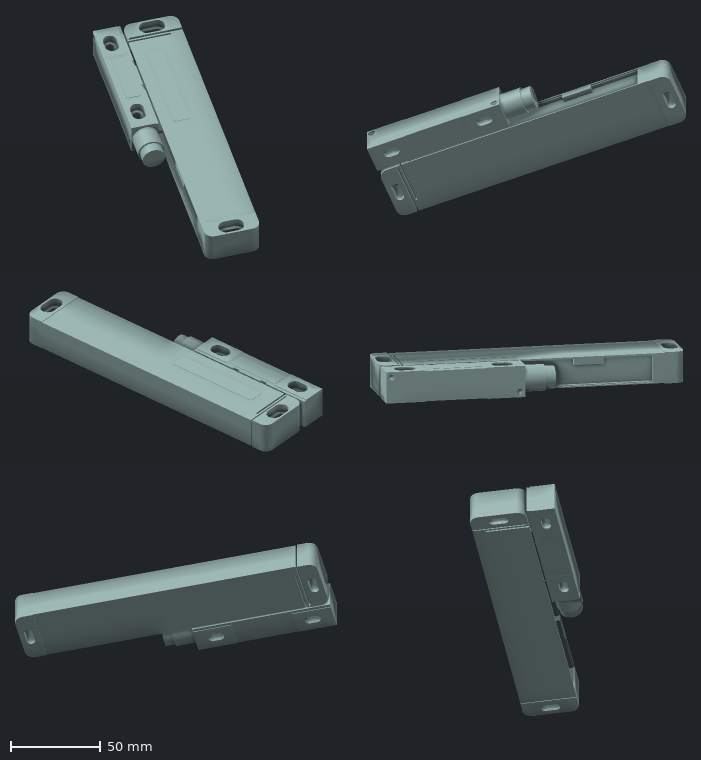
import cadquery as cq
import math

LENGTH = 175.0
HEIGHT = 18.0
SKIN = 0.4
LABEL_RISE = 0.2
MID_Z = HEIGHT / 2
BORE_DEPTH = 5.0
ROUND = 1.0

SCALE_FRONT = 17.0
SCALE_BACK = 49.0
SCALE_MID_Y = (SCALE_FRONT + SCALE_BACK) / 2
CORNER_RADIUS = 5.0
END_LENGTH = 11.5
MID_LENGTH = LENGTH - 2 * END_LENGTH

CUT_WIDTH = 1.0
BACK_CUT_X = 10.7
BACK_CUT_FRONT = 18.0
FRONT_CUT_X = 12.8
FRONT_CUT_BACK = 41.8

CHANNEL_INSET = 18.2
CHANNEL_DEPTH = 3.0
LIP = 1.2
MOUTH_STEP = 0.5
MOUTH_DEPTH = 0.9
BLOCK_X = 111.3
BLOCK_LENGTH = 17.2
BLOCK_BOTTOM = 13.1

SCALE_LABEL_X = 23.8
SCALE_LABEL_LENGTH = 57.2
SCALE_LABEL_Y = 24.7
SCALE_LABEL_WIDTH = 9.3

SCALE_SLOT_INSET = 5.5
SCALE_SLOT = (11.0, 4.7)
SCALE_SLOT_BORE = (14.9, 8.5)

READER_LENGTH = 80.0
READER_BACK = 16.0
STRIP_FRONT = 14.2
RECESS_X = (21.9, 58.3)
RAMP_LENGTH = 2.1

READER_LABEL_Y = 4.2
READER_LABEL_WIDTH = 9.0

READER_SLOT_X = (12.0, 68.0)
READER_SLOT_Y = 7.2
READER_SLOT = (9.0, 4.9)
READER_SLOT_BORE = (12.2, 8.0)

SOCKET_Y = 8.0
SOCKET_RADIUS = 7.5
SOCKET_LENGTH = 12.0
SOCKET_TIP_RADIUS = 6.5
SOCKET_TIP_LENGTH = 5.8

SCREW_INSET = 3.2
SCREW_X = (2.8, 76.8)
SCREW_HEAD_RADIUS = 2.1
SCREW_HEAD_DEPTH = 0.7
SCREW_RADIUS = 1.5
SCREW_CONE_DEPTH = 1.4

TONGUE_X = (26.0, 79.0)
TONGUE_THICKNESS = 2.8
TONGUE_TIP = 18.5
TONGUE_GROOVE_X = (36.0, 68.8)
TONGUE_GROOVE_WIDTH = 2.3
TONGUE_GROOVE_DEPTH = 0.4

NOTCH_X = (30.1, 50.0)
NOTCH_RADIUS = 2.3
NOTCH_AXIS_RISE = 0.9
NOTCH_DEPTH = 1.0


def box(x0, x1, y0, y1, z0, z1):
    """Axis-aligned box between two opposite corners."""
    return cq.Workplane("XY").box(x1 - x0, y1 - y0, z1 - z0, centered=False).translate((x0, y0, z0))


def label(x, y, length, width, z):
    """Thin raised plate with rounded corners."""
    return box(x, x + length, y, y + width, z, z + LABEL_RISE).edges("|Z").fillet(ROUND)


def counterbored_slot(x, y, slot, bore, angle):
    """Cutter for a through slot with a wider slot sunk from the top."""
    through = cq.Workplane("XY").center(x, y).slot2D(*slot, angle).extrude(HEIGHT)
    floor = cq.Workplane("XY", origin=(x, y, HEIGHT - BORE_DEPTH))
    return through.union(floor.slot2D(*bore, angle).extrude(BORE_DEPTH))


def channel():
    """Cutter for the front channel, leaving the block that hangs from its upper lip."""
    x0, x1 = CHANNEL_INSET, LENGTH - CHANNEL_INSET
    low, high = SKIN + LIP, HEIGHT - SKIN - LIP
    back = SCALE_FRONT + CHANNEL_DEPTH
    cavity = box(x0, x1, SCALE_FRONT, back, low, high)
    mouth_back = SCALE_FRONT + MOUTH_DEPTH
    mouth = box(x0, x1, SCALE_FRONT, mouth_back, low - MOUTH_STEP, high + MOUTH_STEP)
    block = box(BLOCK_X, BLOCK_X + BLOCK_LENGTH, SCALE_FRONT, back, BLOCK_BOTTOM, HEIGHT)
    return cavity.union(mouth).cut(block)


def make_scale_unit():
    body = box(0, LENGTH, SCALE_FRONT, SCALE_BACK, 0, HEIGHT).edges("|Z").fillet(CORNER_RADIUS)
    for z in (0, HEIGHT - SKIN):
        mid_end = END_LENGTH + MID_LENGTH
        body = body.cut(box(END_LENGTH, mid_end, SCALE_FRONT, SCALE_BACK, z, z + SKIN))

    cut_end = BACK_CUT_FRONT + CUT_WIDTH / 2
    back_cut = box(BACK_CUT_X, BACK_CUT_X + CUT_WIDTH, cut_end, SCALE_BACK, 0, HEIGHT)
    cut_round = cq.Workplane("XY").center(BACK_CUT_X + CUT_WIDTH / 2, cut_end).circle(CUT_WIDTH / 2)
    front_cut = box(FRONT_CUT_X, FRONT_CUT_X + CUT_WIDTH, SCALE_FRONT, FRONT_CUT_BACK, 0, HEIGHT)
    body = body.cut(back_cut).cut(cut_round.extrude(HEIGHT)).cut(front_cut)

    body = body.cut(channel())
    for x in (SCALE_SLOT_INSET, LENGTH - SCALE_SLOT_INSET):
        slot = counterbored_slot(x, SCALE_MID_Y, SCALE_SLOT, SCALE_SLOT_BORE, 90)
        body = body.cut(slot)
    return body.union(label(SCALE_LABEL_X, SCALE_LABEL_Y, SCALE_LABEL_LENGTH, SCALE_LABEL_WIDTH,
                            HEIGHT - SKIN))


def reader_recess():
    """Cutter that lowers the middle of the top face, with a concave ramp at each end."""
    x0, x1 = RECESS_X
    floor = HEIGHT - SKIN
    ramp_radius = (RAMP_LENGTH**2 + SKIN**2) / (2 * SKIN)
    half_angle = math.asin(RAMP_LENGTH / ramp_radius) / 2
    arc_run = RAMP_LENGTH - ramp_radius * math.sin(half_angle)
    arc_z = floor + ramp_radius * (1 - math.cos(half_angle))
    profile = (
        cq.Workplane("XZ")
        .moveTo(x0, HEIGHT)
        .threePointArc((x0 + arc_run, arc_z), (x0 + RAMP_LENGTH, floor))
        .lineTo(x1 - RAMP_LENGTH, floor)
        .threePointArc((x1 - arc_run, arc_z), (x1, HEIGHT))
        .close()
    )
    strip = box(0, READER_LENGTH, STRIP_FRONT, READER_BACK, floor, HEIGHT)
    return profile.extrude(-READER_BACK).union(strip)


def screw_hole(x, z):
    """Cutter for a flat-bottomed recess with a conical centre, sunk from the front face."""
    head = cq.Workplane("XZ").center(x, z).circle(SCREW_HEAD_RADIUS).extrude(-SCREW_HEAD_DEPTH)
    tip = cq.Solid.makeCone(SCREW_RADIUS, 0, SCREW_CONE_DEPTH,
                            cq.Vector(x, SCREW_HEAD_DEPTH, z), cq.Vector(0, 1, 0))
    return head.union(cq.Workplane(tip))


def tongue():
    """Bar with rounded ends and shallow cross grooves on its top and bottom."""
    x0, x1 = TONGUE_X
    bar = (
        cq.Workplane("XZ", origin=((x0 + x1) / 2, READER_BACK, MID_Z))
        .slot2D(x1 - x0, TONGUE_THICKNESS)
        .extrude(READER_BACK - TONGUE_TIP)
    )
    half_width = TONGUE_GROOVE_WIDTH / 2
    land = TONGUE_THICKNESS / 2 - TONGUE_GROOVE_DEPTH
    for x in TONGUE_GROOVE_X:
        for z in (MID_Z + land, MID_Z - land - TONGUE_GROOVE_DEPTH):
            groove = box(x - half_width, x + half_width, READER_BACK, TONGUE_TIP, z, z + TONGUE_GROOVE_DEPTH)
            bar = bar.cut(groove)
    return bar


def socket():
    """Stepped round cable socket on the +X end."""
    base = cq.Workplane("YZ", origin=(READER_LENGTH, SOCKET_Y, MID_Z)).circle(SOCKET_RADIUS)
    sleeve = base.extrude(SOCKET_LENGTH)
    return sleeve.faces(">X").workplane().circle(SOCKET_TIP_RADIUS).extrude(SOCKET_TIP_LENGTH)


def make_reader_head():
    body = box(0, READER_LENGTH, 0, READER_BACK, 0, HEIGHT)
    recess = reader_recess()
    body = body.cut(recess).cut(recess.mirror("XY", (0, 0, MID_Z)))

    for x in READER_SLOT_X:
        slot = counterbored_slot(x, READER_SLOT_Y, READER_SLOT, READER_SLOT_BORE, 0)
        body = body.cut(slot)
    for x, z in zip(SCREW_X, (HEIGHT - SCREW_INSET, SCREW_INSET)):
        body = body.cut(screw_hole(x, z))
    for x in NOTCH_X:
        rear = cq.Workplane("XZ", origin=(x, READER_BACK, HEIGHT - SKIN + NOTCH_AXIS_RISE))
        body = body.cut(rear.circle(NOTCH_RADIUS).extrude(NOTCH_DEPTH))

    label_x = RECESS_X[0] + RAMP_LENGTH
    label_length = RECESS_X[1] - RAMP_LENGTH - label_x
    plate = label(label_x, READER_LABEL_Y, label_length, READER_LABEL_WIDTH,
                  HEIGHT - SKIN)
    return body.union(plate).union(tongue()).union(socket())


scale_unit = make_scale_unit()
reader_head = make_reader_head()

result = cq.Compound.makeCompound([scale_unit.val(), reader_head.val()])